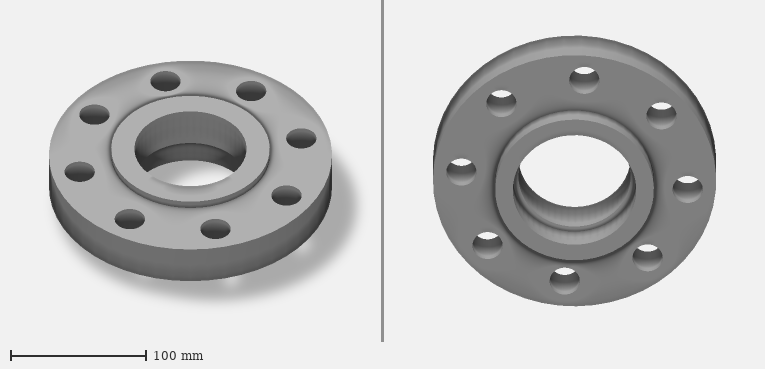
import cadquery as cq

flange_diameter = 209.5
flange_thickness = 31.5

hub_diameter = 117.3
hub_height = 14.7
raised_face_height = 6.3
total_height = hub_height + flange_thickness + raised_face_height

bore_diameter = 83.0
socket_diameter = 91.4
socket_depth = 21.0

bolt_count = 8
bolt_hole_diameter = 22.5
bolt_circle_diameter = 168.0
first_bolt_angle = 360 / bolt_count / 2


def cylinder(diameter, height, base_z=0):
    """Vertical cylinder centred on the flange axis."""
    return cq.Workplane("XY").workplane(offset=base_z).circle(diameter / 2).extrude(height)


def bolt_holes():
    """Ring of cutters passing through the full height."""
    return (
        cq.Workplane("XY")
        .polarArray(bolt_circle_diameter / 2, first_bolt_angle, 360, bolt_count)
        .circle(bolt_hole_diameter / 2)
        .extrude(total_height)
    )


body = cylinder(hub_diameter, total_height)
body = body.union(cylinder(flange_diameter, flange_thickness, hub_height))
body = body.cut(cylinder(bore_diameter, total_height))
body = body.cut(cylinder(socket_diameter, socket_depth))
result = body.cut(bolt_holes())